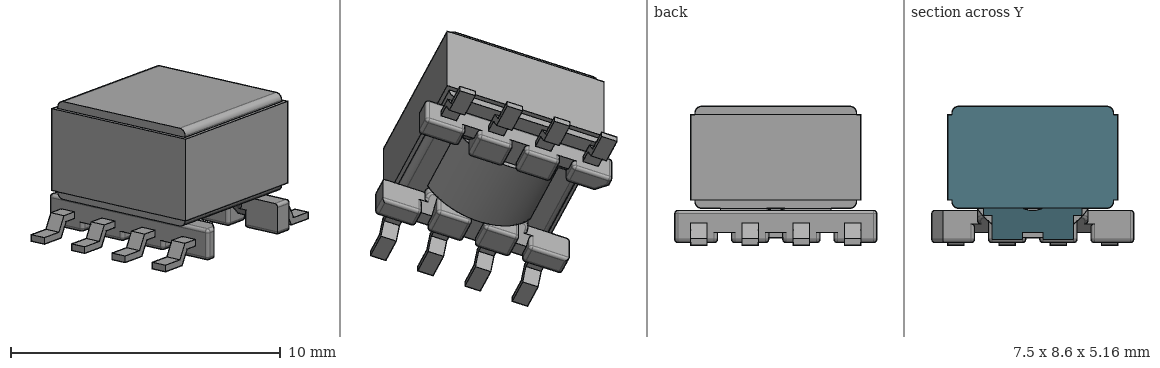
import cadquery as cq

wrap_length = 6.31
wrap_depth = 6.14
core_length = 6.0
core_depth = 5.81
core_bottom = 1.37
core_top = 5.16
plate_step = 0.31
plate_round = 0.26

rail_length = 7.5
rail_outer_y = 2.485
rail_inner_y = 1.7
rail_top = 1.3
rail_bottom = 0.095
slot_top = 0.47
slot_width = 0.52
edge_round = 0.13
marker_chamfer = 0.41

flange_inner_y = 1.44
flange_outer_y = 1.88
flange_length = 4.11
flange_round = 0.24
notch_top = 1.06
winding_radius = 2.485
winding_bottom = 0.27
channel_radius = 0.86

pin_pitch = 1.9
pin_count = 4
pin_width = 0.62
pin_thickness = 0.26
pin_top = 0.825
pin_span = 8.6
foot_bend_y = 3.42
shoulder_bend_y = 3.12
bend_shift = 0.14
pin_embed = 0.17

rail_half = rail_length / 2
flange_half = flange_length / 2
leg_inner_start = slot_width / 2
leg_inner_end = pin_pitch - slot_width / 2
leg_outer_start = pin_pitch + slot_width / 2


def block(x_range, y_range, z_range):
    """Box between the given limits."""
    spans = [high - low for low, high in (x_range, y_range, z_range)]
    corner = [low for low, _ in (x_range, y_range, z_range)]
    return cq.Workplane("XY").box(*spans, centered=False).translate(tuple(corner))


def make_core():
    height = core_top - core_bottom
    middle = (core_top + core_bottom) / 2
    plates = cq.Workplane("XY").box(core_length, core_depth, height).edges("|Y").fillet(plate_round)
    wrap = cq.Workplane("XY").box(wrap_length, wrap_depth, height - 2 * plate_step)
    return plates.union(wrap).translate((0, 0, middle))


def make_rail_cap():
    """Upper part of a rail, rounded along its outer side, its ends and its top."""
    cap = block((-rail_half, rail_half), (rail_inner_y, rail_outer_y), (slot_top, rail_top))
    cap = cap.edges("|Z and >Y").fillet(edge_round)
    return cap.faces(">Z").edges("not <Y").fillet(edge_round)


def make_leg(x_range, inner_y, rounded_edges):
    """Leg with rounded upright edges, reaching up past the slot roofs into the rail."""
    leg = block(x_range, (inner_y, rail_outer_y), (rail_bottom, rail_top - edge_round))
    return leg.edges(rounded_edges).fillet(edge_round)


def make_wire_notch():
    """Wedge over the +X slot, whose roof climbs at 45 degrees toward the winding.

    It also clears the rounded edges of the two legs beside the slot.
    """
    return (
        cq.Workplane("YZ", origin=(leg_inner_end - edge_round, 0, 0))
        .polyline([
            (flange_inner_y, slot_top),
            (flange_inner_y, notch_top),
            (flange_inner_y + notch_top - slot_top, slot_top),
        ])
        .close()
        .extrude(slot_width + 2 * edge_round)
    )


def cut_wire_notches(shape):
    notch = make_wire_notch()
    return shape.cut(notch).cut(notch.mirror("YZ"))


def make_flange():
    """Upright plate at the end of the winding, rounded where the wires pass its ends."""
    x_range = (-flange_half, flange_half)
    plate = block(x_range, (flange_inner_y, flange_outer_y), (slot_top, core_bottom))
    plate = plate.edges("|Z and <Y").fillet(flange_round)
    return cut_wire_notches(plate).edges("%ELLIPSE").fillet(edge_round)


def make_marked_footprint():
    """Footprint of the marked rail: one inner corner rounded, the other cut off."""
    x_range = (-rail_half, rail_half)
    footprint = block(x_range, (rail_inner_y, rail_outer_y), (rail_bottom, rail_top))
    footprint = footprint.edges("|Z and <Y and <X").fillet(edge_round)
    return footprint.edges("|Z and <Y and >X").chamfer(marker_chamfer)


def make_pin():
    """Gull-wing pin leaving the rail toward +Y, centred on X = 0."""
    tip = pin_span / 2
    root = rail_outer_y - pin_embed
    profile = [
        (root, pin_top),
        (shoulder_bend_y, pin_top),
        (foot_bend_y, pin_thickness),
        (tip, pin_thickness),
        (tip, 0),
        (foot_bend_y - bend_shift, 0),
        (shoulder_bend_y - bend_shift, pin_top - pin_thickness),
        (root, pin_top - pin_thickness),
    ]
    return cq.Workplane("YZ").polyline(profile).close().extrude(pin_width / 2, both=True)


def round_underside(leg):
    return leg.faces("<Z").edges().fillet(edge_round)


def make_side(marked):
    """Rail, legs, flange and pins on the +Y side; a marked rail has shaped inner end corners."""
    cap = make_rail_cap()
    end_leg = make_leg((leg_outer_start, rail_half), rail_inner_y, "|Z and (>Y or <X)")
    end_legs = [end_leg, end_leg.mirror("YZ")]
    if marked:
        footprint = make_marked_footprint()
        cap = cap.intersect(footprint)
        end_legs = [leg.intersect(footprint) for leg in end_legs]
    middle_leg = make_leg((leg_inner_start, leg_inner_end), flange_inner_y, "|Z")
    middle_legs = [middle_leg, middle_leg.mirror("YZ")]

    side = cut_wire_notches(cap).union(make_flange())
    for leg in end_legs + middle_legs:
        side = side.union(round_underside(leg))
    for index in range(pin_count):
        pin_x = (index - (pin_count - 1) / 2) * pin_pitch
        side = side.union(make_pin().translate((pin_x, 0, 0)))
    return side


def cylinder_along_y(radius, bottom, half_length):
    """Cylinder along Y, centred on X = 0, with its lowest line at the given height."""
    return cq.Workplane("XZ").center(0, bottom + radius).circle(radius).extrude(half_length, both=True)


def make_winding():
    """Lower segment of the round winding, ending flat against the core."""
    winding = cylinder_along_y(winding_radius, winding_bottom, flange_inner_y)
    keep = block((-rail_half, rail_half), (-rail_outer_y, rail_outer_y), (0, core_bottom))
    return winding.intersect(keep)


def make_bobbin():
    body = make_winding().union(make_side(marked=False)).union(make_side(marked=True).mirror("XZ"))
    return body.cut(cylinder_along_y(channel_radius, rail_top, flange_outer_y))


core = make_core()
bobbin = make_bobbin()
result = cq.Compound.makeCompound([core.solids().val(), bobbin.solids().val()])